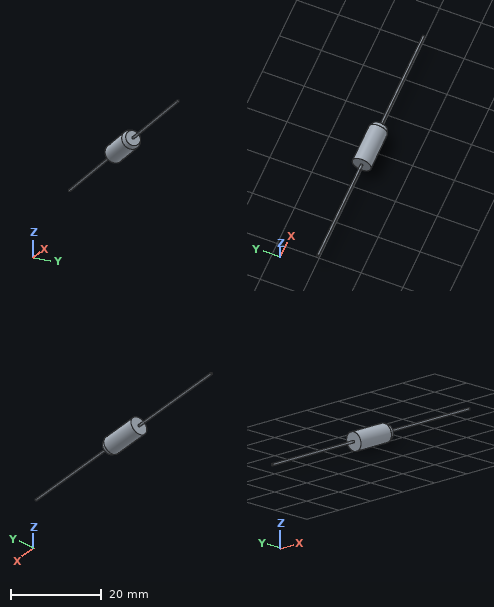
import cadquery as cq

overall_length = 61.5
lead_diameter = 0.56
body_diameter = 4.55
body_length = 10.65
nose_length = 1.1
nose_end_diameter = 3.55

body_start = -body_length / 2
body_end = body_length / 2
shoulder = body_end - nose_length


def lead_wire():
    """Straight wire running the whole length, through the body axis."""
    return (
        cq.Workplane("YZ", origin=(-overall_length / 2, 0, 0))
        .circle(lead_diameter / 2)
        .extrude(overall_length)
    )


def body():
    """Cylinder with a tapered nose at its +X end, revolved about X."""
    return (
        cq.Workplane("XY")
        .moveTo(body_start, 0)
        .lineTo(body_start, body_diameter / 2)
        .lineTo(shoulder, body_diameter / 2)
        .lineTo(body_end, nose_end_diameter / 2)
        .lineTo(body_end, 0)
        .close()
        .revolve(360, (0, 0, 0), (1, 0, 0))
    )


result = body().union(lead_wire())